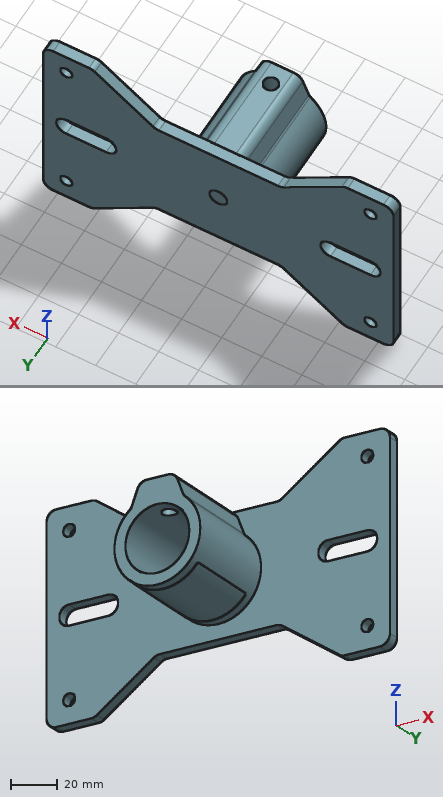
import cadquery as cq
import math

plate_width = 175.0
plate_height = 103.0
plate_thickness = 6.0
waist_height = 58.5
wing_edge_x = 63.0
waist_edge_x = 31.3
corner_radius = 5.0

screw_hole_diameter = 6.0
screw_hole_x = 76.0
screw_hole_z = 40.0

slot_length = 30.0
slot_width = 10.0
slot_x = 66.0

socket_length = 50.0
socket_radius = 21.9
bore_radius = 16.3
lug_top_z = 29.0
lug_half_width = 9.0
lug_draft_angle = 21.0
lug_top_radius = 5.0
lug_root_radius = 2.5
set_screw_diameter = 7.0
set_screw_inset = 10.2

pad_height = 0.2
pad_end_margin = 5.0
pad_half_angle = 52.5
pad_corner_radius = 1.0

pin_radius = 4.4


def front_plane(y=0.0):
    """XZ workplane at the given Y; extruding from it goes toward -Y."""
    return cq.Workplane("XZ", origin=(0, y, 0))


def make_plate():
    half_width = plate_width / 2
    half_height = plate_height / 2
    half_waist = waist_height / 2
    upper_edge = [
        (-half_width, half_height),
        (-wing_edge_x, half_height),
        (-waist_edge_x, half_waist),
        (waist_edge_x, half_waist),
        (wing_edge_x, half_height),
        (half_width, half_height),
    ]
    lower_edge = [(x, -z) for x, z in reversed(upper_edge)]
    plate = (
        front_plane(plate_thickness)
        .polyline(upper_edge + lower_edge)
        .close()
        .extrude(plate_thickness)
        .edges("|Y")
        .fillet(corner_radius)
    )
    screw_holes = (
        front_plane(plate_thickness)
        .rect(2 * screw_hole_x, 2 * screw_hole_z, forConstruction=True)
        .vertices()
        .circle(screw_hole_diameter / 2)
        .extrude(plate_thickness)
    )
    slots = (
        front_plane(plate_thickness)
        .pushPoints([(-slot_x, 0), (slot_x, 0)])
        .slot2D(slot_length, slot_width)
        .extrude(plate_thickness)
    )
    return plate.cut(screw_holes).cut(slots).cut(make_pin())


def make_pin():
    return front_plane(plate_thickness).circle(pin_radius).extrude(plate_thickness)


def make_pad():
    """Curved pad, reaching inward to the bore so that it merges with the socket wall."""
    outer_radius = socket_radius + pad_height
    pad_length = socket_length - 2 * pad_end_margin
    reach = 2 * outer_radius
    side_x = reach * math.tan(math.radians(pad_half_angle))
    ring = front_plane(-pad_end_margin).circle(outer_radius).circle(bore_radius).extrude(pad_length)
    wedge = (
        front_plane(-pad_end_margin)
        .polyline([(0, 0), (-side_x, -reach), (side_x, -reach)])
        .close()
        .extrude(pad_length)
    )
    return ring.intersect(wedge).edges("(not |Y) and (%LINE)").fillet(pad_corner_radius)


def make_socket():
    flank_run = lug_top_z * math.tan(math.radians(lug_draft_angle))
    lug_outline = [
        (-lug_half_width, lug_top_z),
        (lug_half_width, lug_top_z),
        (lug_half_width + flank_run, 0),
        (-lug_half_width - flank_run, 0),
    ]
    lug = front_plane().polyline(lug_outline).close().extrude(socket_length)
    lug = lug.edges("|Y and >Z").fillet(lug_top_radius)
    socket = front_plane().circle(socket_radius).extrude(socket_length).union(lug)

    draft = math.radians(lug_draft_angle)
    flank_distance = (lug_half_width + flank_run) * math.cos(draft)
    root_angle = draft + math.acos(flank_distance / socket_radius)
    root_x = socket_radius * math.cos(root_angle)
    root_z = socket_radius * math.sin(root_angle)
    left_root = cq.NearestToPointSelector((-root_x, -socket_length / 2, root_z))
    right_root = cq.NearestToPointSelector((root_x, -socket_length / 2, root_z))
    socket = socket.edges(left_root + right_root).fillet(lug_root_radius)

    socket = socket.union(make_pad())
    bore = front_plane().circle(bore_radius).extrude(socket_length)
    set_screw_hole = (
        cq.Workplane("XY")
        .center(0, set_screw_inset - socket_length)
        .circle(set_screw_diameter / 2)
        .extrude(lug_top_z)
    )
    return socket.cut(bore).cut(set_screw_hole)


plate = make_plate()
socket = make_socket()
pin = make_pin()

result = cq.Compound.makeCompound([plate.val(), socket.val(), pin.val()])